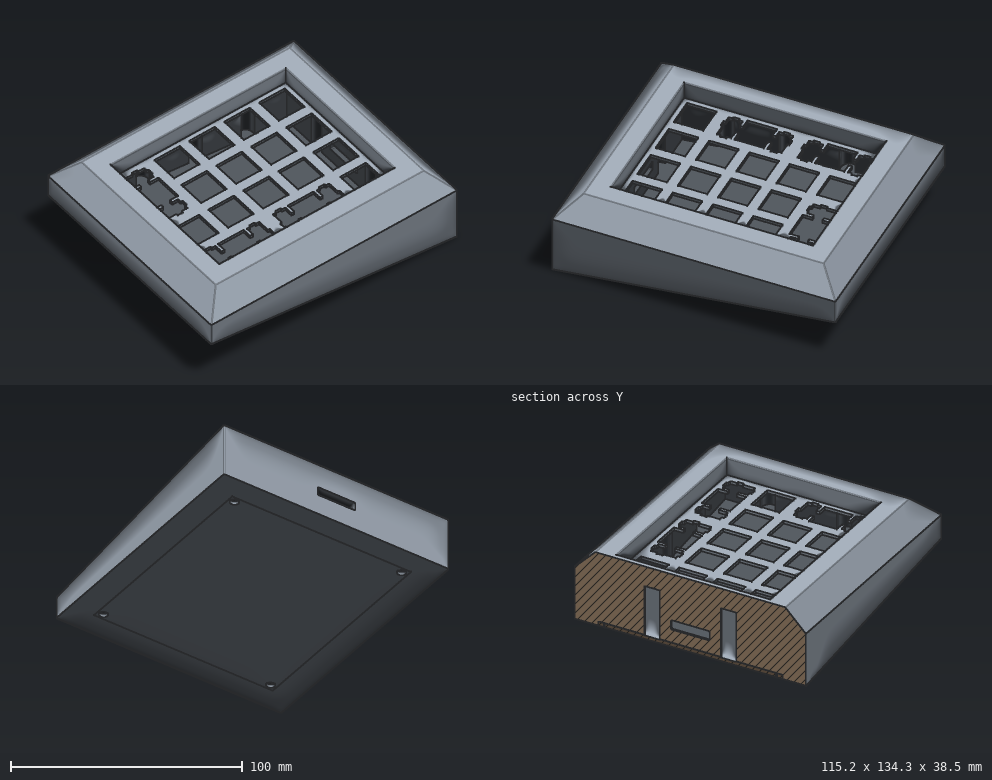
import cadquery as cq
import math


KEY_PITCH = 19.1
COLUMNS = 4
ROWS = 5
SWITCH_HOLE = 14.0
SINGLE_KEYS = [(column, row) for row in range(ROWS - 1) for column in range(COLUMNS - 1)]
SINGLE_KEYS += [(3, 0), (2, 4)]
DOUBLE_KEYS = [(3, 1.5, -90), (3, 3.5, -90), (0.5, 4, 0)]

STAB_REACH = 12.0
STAB_WIDTH = 6.7
STAB_LENGTH = 12.4
STAB_DROP = 0.5
STAB_NOTCH_WIDTH = 3.0
STAB_NOTCH_DEPTH = 1.0
STAB_END_NOTCH_RISE = 1.0
STAB_LINK_WIDTH = 4.7

WIDTH = 115.2
LENGTH = 134.3
HEIGHT = 38.5
BOTTOM_TILT = 7.0
TOP_CHAMFER = 10.3
EDGE_RADIUS = 0.44
SELECT_MARGIN = 0.1
WINDOW_WIDTH = COLUMNS * KEY_PITCH
WINDOW_LENGTH = ROWS * KEY_PITCH
LEDGE = 2.0
CAVITY_WIDTH = WINDOW_WIDTH + 2 * LEDGE
CAVITY_LENGTH = WINDOW_LENGTH + 2 * LEDGE

PLATE_DEPTH = 8.6
PLATE_THICKNESS = 1.5
PLATE_TOP = HEIGHT - PLATE_DEPTH
PLATE_BOTTOM = PLATE_TOP - PLATE_THICKNESS

COVER_INSET = 11.8
COVER_WIDTH = WIDTH - 2 * COVER_INSET
COVER_LENGTH = LENGTH - 2 * COVER_INSET
COVER_THICKNESS = 2.0
SCREW_DIAMETER = 4.0
SCREW_INSET = 3.0

SLOT_RADIUS = 3.8
SLOT_DEPTH = 5.1
SIDE_SLOT_SPACING = 1.5 * KEY_PITCH
END_SLOT_OFFSET = KEY_PITCH

PORT_WIDTH = 19.1
PORT_HEIGHT = 4.4
PORT_TOP = 15.3
PORT_RADIUS = 0.5


def underside(y):
    """Height of the tilted bottom face at a given Y."""
    return (LENGTH / 2 - y) * math.tan(math.radians(BOTTOM_TILT))


def tilted_block(width, length, top_front, top_back):
    """Block whose bottom lies in the tilted underside, with the top heights given at both ends."""
    front = -length / 2
    back = length / 2
    side_profile = [
        (front, underside(front)),
        (back, underside(back)),
        (back, top_back),
        (front, top_front),
    ]
    return cq.Workplane("YZ").polyline(side_profile).close().extrude(width / 2, both=True)


def cover_block():
    """Slab that fills the recess in the underside of the case."""
    front_top = underside(-COVER_LENGTH / 2) + COVER_THICKNESS
    back_top = underside(COVER_LENGTH / 2) + COVER_THICKNESS
    return tilted_block(COVER_WIDTH, COVER_LENGTH, front_top, back_top)


def key_position(column, row):
    x = (column - (COLUMNS - 1) / 2) * KEY_PITCH
    y = ((ROWS - 1) / 2 - row) * KEY_PITCH
    return x, y


def edges_in_box(width, length, bottom, top):
    """Selector for the edges centred inside a box on the Z axis."""
    return cq.selectors.BoxSelector((-width / 2, -length / 2, bottom), (width / 2, length / 2, top))


def case_shell():
    """Outer block with bevelled top, window and softened edges."""
    shell = tilted_block(WIDTH, LENGTH, HEIGHT, HEIGHT)
    shell = shell.faces(">Z").edges().chamfer(TOP_CHAMFER)

    bevel_edges = edges_in_box(WIDTH, LENGTH, HEIGHT - TOP_CHAMFER + SELECT_MARGIN, HEIGHT + SELECT_MARGIN)
    upright_edges = cq.selectors.ParallelDirSelector(cq.Vector(0, 0, 1))
    shell = shell.edges(bevel_edges + upright_edges).fillet(EDGE_RADIUS)

    window = (
        cq.Workplane("XY").workplane(offset=PLATE_TOP)
        .rect(WINDOW_WIDTH, WINDOW_LENGTH).extrude(PLATE_DEPTH)
    )
    window_rim = edges_in_box(
        WINDOW_WIDTH + SELECT_MARGIN,
        WINDOW_LENGTH + SELECT_MARGIN,
        HEIGHT - SELECT_MARGIN,
        HEIGHT + SELECT_MARGIN,
    )
    return shell.cut(window).edges(window_rim).fillet(EDGE_RADIUS)


def wall_slots():
    """Round-ended slots: three in each side wall, two in the front and back walls."""
    side_reach = CAVITY_WIDTH / 2 + SLOT_DEPTH
    end_reach = CAVITY_LENGTH / 2 + SLOT_DEPTH
    slots = cq.Workplane("XY")
    for y in (-SIDE_SLOT_SPACING, 0, SIDE_SLOT_SPACING):
        side_pair = cq.Workplane("XY").center(0, y).slot2D(2 * side_reach, 2 * SLOT_RADIUS)
        slots = slots.union(side_pair.extrude(PLATE_BOTTOM))
    for x in (-END_SLOT_OFFSET, END_SLOT_OFFSET):
        end_pair = cq.Workplane("XY").center(x, 0).slot2D(2 * end_reach, 2 * SLOT_RADIUS, 90)
        slots = slots.union(end_pair.extrude(PLATE_BOTTOM))
    return slots


def connector_port():
    """Rounded opening from the cavity out through the back wall."""
    return (
        cq.Workplane("XZ").center(0, PORT_TOP - PORT_HEIGHT / 2)
        .rect(PORT_WIDTH, PORT_HEIGHT).extrude(-LENGTH)
        .edges("|Y").fillet(PORT_RADIUS)
    )


def make_case():
    cavity = tilted_block(CAVITY_WIDTH, CAVITY_LENGTH, PLATE_TOP, PLATE_TOP)
    case = case_shell()
    for hollow in (cavity, cover_block(), wall_slots(), connector_port()):
        case = case.cut(hollow)
    return case


def box_cutter(width, length, x, y):
    return cq.Workplane("XY").center(x, y).rect(width, length).extrude(PLATE_THICKNESS)


def switch_cutter():
    return box_cutter(SWITCH_HOLE, SWITCH_HOLE, 0, 0)


def stabilizer_cutter():
    """Switch hole and both stabilizer openings of a double-width key lying along X."""
    cutter = switch_cutter().union(box_cutter(2 * STAB_REACH, STAB_LINK_WIDTH, 0, 0))
    notched_length = STAB_LENGTH + 2 * STAB_NOTCH_DEPTH
    end_notch_reach = STAB_REACH + STAB_WIDTH / 2 + STAB_NOTCH_DEPTH
    for side in (-1, 1):
        x = side * STAB_REACH
        cutter = cutter.union(box_cutter(STAB_WIDTH, STAB_LENGTH, x, -STAB_DROP))
        cutter = cutter.union(box_cutter(STAB_NOTCH_WIDTH, notched_length, x, -STAB_DROP))
        end_notch_x = side * end_notch_reach / 2
        end_notch = box_cutter(end_notch_reach, STAB_NOTCH_WIDTH, end_notch_x, STAB_END_NOTCH_RISE)
        cutter = cutter.union(end_notch)
    return cutter


def make_plate():
    plate = (
        cq.Workplane("XY").workplane(offset=PLATE_BOTTOM)
        .rect(CAVITY_WIDTH, CAVITY_LENGTH).extrude(PLATE_THICKNESS)
    )
    for column, row in SINGLE_KEYS:
        x, y = key_position(column, row)
        plate = plate.cut(switch_cutter().translate((x, y, PLATE_BOTTOM)))
    for column, row, angle in DOUBLE_KEYS:
        x, y = key_position(column, row)
        cutter = stabilizer_cutter().rotate((0, 0, 0), (0, 0, 1), angle)
        plate = plate.cut(cutter.translate((x, y, PLATE_BOTTOM)))
    return plate


def make_cover():
    screw_holes = (
        cq.Workplane("XY")
        .rect(COVER_WIDTH - 2 * SCREW_INSET, COVER_LENGTH - 2 * SCREW_INSET, forConstruction=True)
        .vertices().circle(SCREW_DIAMETER / 2).extrude(HEIGHT)
    )
    return cover_block().cut(screw_holes)


case = make_case()
plate = make_plate()
cover = make_cover()

result = cq.Compound.makeCompound([case.val(), plate.val(), cover.val()])